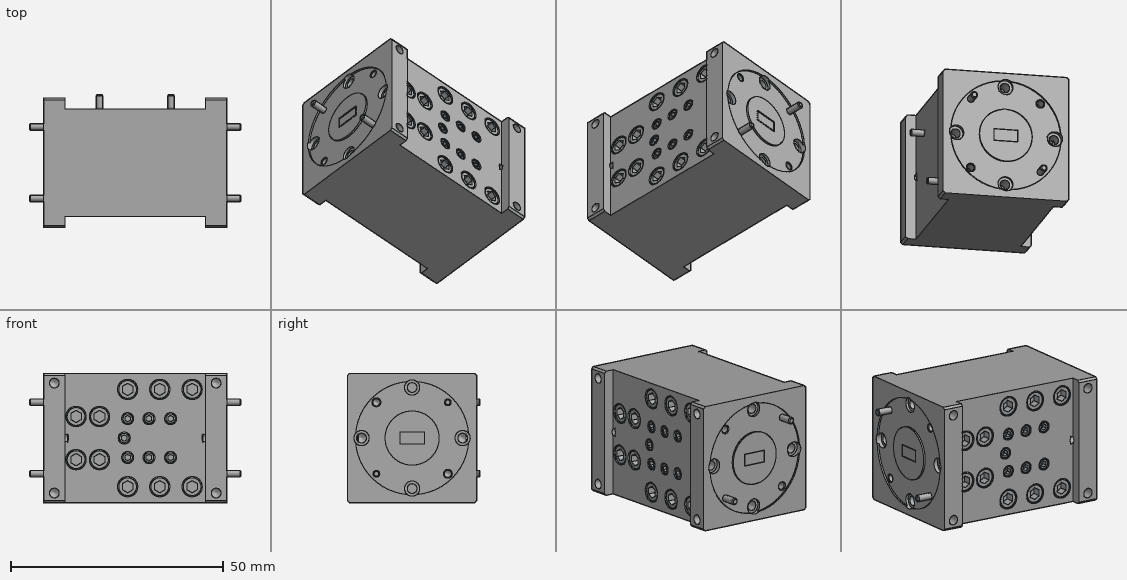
import cadquery as cq
import math

overall_length = 49.8
block_length = 43.2
block_side = 30.5
flange_thickness = 5.1
waist_depth = 25.4
flange_corner_chamfer = 0.5

waist_length = block_length - 2 * flange_thickness
recess_depth = (block_side - waist_depth) / 2
waist_front = -waist_depth / 2
flange_center_x = (block_length - flange_thickness) / 2

bolt_circle_radius = 11.9
contact_groove_diameter = 26.7
contact_boss_diameter = 12.75
contact_groove_depth = 0.45
waveguide_width = 5.8
waveguide_height = 2.85
waveguide_depth = 0.25

drill_point_angle = 118.0
bolt_hole_diameter = 2.3
bolt_hole_depth = 5.7
bolt_counterbore_diameter = 3.6
side_counterbore_depth = 1.45
upright_counterbore_depth = 1.1
foot_hole_diameter = 2.3
foot_hole_depth = 5.1
foot_hole_z = 12.95

dowel_offset = bolt_circle_radius / math.sqrt(2)
dowel_diameter = 1.6
dowel_end_chamfer = 0.25
dowel_projection = (overall_length - block_length) / 2
short_dowel_insertion = 3.0
mating_hole_diameter = 1.7
mating_hole_depth = 3.5
mating_hole_chamfer = 0.2

head_sink = 0.15
large_head_diameter = 4.8
large_head_chamfer = 0.3
large_socket_size = 2.5
large_socket_depth = 2.25
small_head_diameter = 2.85
small_head_chamfer = 0.3
small_socket_size = 1.3
small_socket_depth = 1.25

right_large_xs = [-1.8, 5.8, 13.4]
right_large_z = 11.45
left_large_xs = [-13.95, -8.4]
left_large_z = 5.1
small_xs = [-1.8, 3.25, 8.3]
small_z = 4.6
center_small_x = -2.6

large_screws = [(x, s * right_large_z) for x in right_large_xs for s in (-1, 1)]
large_screws += [(x, s * left_large_z) for x in left_large_xs for s in (-1, 1)]
small_screws = [(x, s * small_z) for x in small_xs for s in (-1, 1)]
small_screws += [(center_small_x, 0)]


def bore(diameter, depth, start, direction):
    """Plain flat-bottomed cylinder running from start along direction."""
    cylinder = cq.Solid.makeCylinder(diameter / 2, depth, cq.Vector(*start), cq.Vector(*direction))
    return cq.Workplane(cylinder)


def drilled_hole(diameter, depth, start, direction):
    """Cylinder with a conical drill point beyond its full-diameter depth."""
    radius = diameter / 2
    point_length = radius / math.tan(math.radians(drill_point_angle / 2))
    axis = cq.Vector(*direction)
    point_start = cq.Vector(*start) + axis * depth
    point = cq.Solid.makeCone(radius, 0, point_length, point_start, axis)
    return bore(diameter, depth, start, direction).union(cq.Workplane(point))


def make_block():
    """Square bar with chamfered long edges, recessed front and back between the flanges."""
    bar = cq.Workplane("XY").box(block_length, block_side, block_side)
    bar = bar.edges("|X").chamfer(flange_corner_chamfer)
    for side in (-1, 1):
        recess = cq.Workplane("XY").box(waist_length, recess_depth, block_side)
        bar = bar.cut(recess.translate((0, side * (block_side - recess_depth) / 2, 0)))
    return bar


def flange_face_cuts():
    """Everything cut into the -X flange face: contact groove, waveguide port and holes."""
    face_x = -block_length / 2
    inward = (1, 0, 0)
    cuts = bore(contact_groove_diameter, contact_groove_depth, (face_x, 0, 0), inward)
    cuts = cuts.cut(bore(contact_boss_diameter, contact_groove_depth, (face_x, 0, 0), inward))
    port = cq.Workplane("XY").box(waveguide_depth, waveguide_width, waveguide_height)
    cuts = cuts.union(port.translate((face_x + waveguide_depth / 2, 0, 0)))

    for side in (-1, 1):
        side_start = (face_x, side * bolt_circle_radius, 0)
        cuts = cuts.union(bore(bolt_counterbore_diameter, side_counterbore_depth, side_start, inward))
        cuts = cuts.union(drilled_hole(bolt_hole_diameter, bolt_hole_depth, side_start, inward))

        upright_start = (face_x, 0, side * bolt_circle_radius)
        cuts = cuts.union(bore(bolt_counterbore_diameter, upright_counterbore_depth, upright_start, inward))
        cuts = cuts.union(bore(bolt_hole_diameter, bolt_hole_depth, upright_start, inward))

        groove_floor = (face_x + contact_groove_depth, side * dowel_offset, -side * dowel_offset)
        mating_radius = mating_hole_diameter / 2
        mouth = cq.Solid.makeCone(
            mating_radius + mating_hole_chamfer,
            mating_radius,
            mating_hole_chamfer,
            cq.Vector(*groove_floor),
            cq.Vector(*inward),
        )
        cuts = cuts.union(cq.Workplane(mouth))
        cuts = cuts.union(drilled_hole(mating_hole_diameter, mating_hole_depth, groove_floor, inward))
    return cuts


def foot_holes():
    """Mounting holes in the front edges of both flanges."""
    holes = cq.Workplane("XY")
    for x in (-flange_center_x, flange_center_x):
        for z in (-foot_hole_z, foot_hole_z):
            start = (x, -block_side / 2, z)
            holes = holes.add(drilled_hole(foot_hole_diameter, foot_hole_depth, start, (0, 1, 0)))
    return holes.combine()


def screw_head_cut(head_diameter, head_chamfer, socket_size, socket_depth):
    """Space around a chamfered, sunken screw head and its hexagon socket, cut along +Y."""
    origin = cq.Vector(0, waist_front, 0)
    inward = cq.Vector(0, 1, 0)
    radius = head_diameter / 2
    head_face = origin + inward * head_sink
    seat = cq.Workplane(cq.Solid.makeCylinder(radius, head_sink + head_chamfer, origin, inward))
    head_edge = cq.Solid.makeCone(radius - head_chamfer, radius, head_chamfer, head_face, inward)
    socket_corner_diameter = socket_size / math.cos(math.pi / 6)
    socket = (
        cq.Workplane("XZ", origin=(0, waist_front, 0))
        .transformed(rotate=(0, 0, 30))
        .polygon(6, socket_corner_diameter)
        .extrude(-head_sink - socket_depth)
    )
    return seat.cut(cq.Workplane(head_edge)).union(socket)


def cut_at(body, cutter, places):
    """Cut copies of cutter moved to each (x, z) place."""
    for x, z in places:
        body = body.cut(cutter.translate((x, 0, z)))
    return body


def make_dowel(length):
    """Dowel centred on the origin along X, chamfered at both ends."""
    rod = cq.Workplane("YZ").circle(dowel_diameter / 2).extrude(length / 2, both=True)
    return rod.faces("<X or >X").chamfer(dowel_end_chamfer)


def make_long_dowels():
    """Dowels passing through the block and projecting from both flange faces."""
    dowel = make_dowel(overall_length)
    return [dowel.translate((0, s * dowel_offset, s * dowel_offset)) for s in (-1, 1)]


def make_back_dowels():
    """Short dowels projecting from the back face of the waist."""
    length = dowel_projection + short_dowel_insertion
    center_y = waist_depth / 2 + dowel_projection - length / 2
    dowel = make_dowel(length).rotate((0, 0, 0), (0, 0, 1), 90)
    return [dowel.translate((s * dowel_offset, center_y, s * dowel_offset)) for s in (-1, 1)]


def make_housing(dowels):
    """Block with all holes, sunken screw heads and a matching seat for each dowel."""
    housing = make_block()
    face_cuts = flange_face_cuts()
    housing = housing.cut(face_cuts).cut(face_cuts.mirror("YZ"))
    housing = housing.cut(foot_holes())
    large_head = screw_head_cut(
        large_head_diameter, large_head_chamfer, large_socket_size, large_socket_depth
    )
    small_head = screw_head_cut(
        small_head_diameter, small_head_chamfer, small_socket_size, small_socket_depth
    )
    housing = cut_at(housing, large_head, large_screws)
    housing = cut_at(housing, small_head, small_screws)
    for dowel in dowels:
        housing = housing.cut(dowel)
    return housing


long_dowels = make_long_dowels()
back_dowels = make_back_dowels()
housing = make_housing(long_dowels + back_dowels)

result = cq.Compound.makeCompound([housing.val(), *[dowel.val() for dowel in long_dowels + back_dowels]])